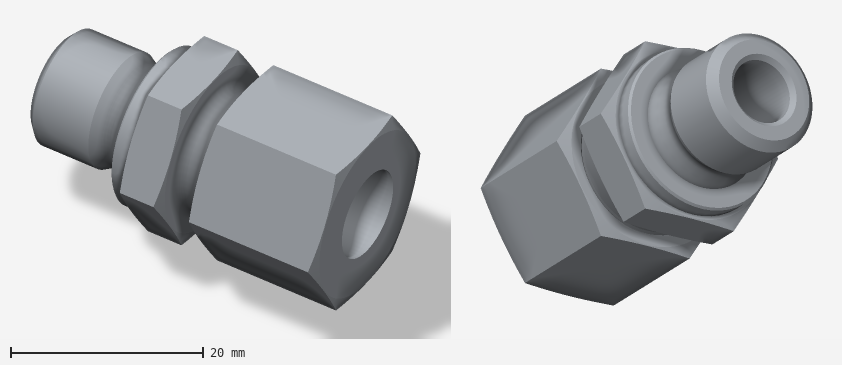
import cadquery as cq
import math


across_flats = 19.0
hex_face_diameter = 18.8
hex_chamfer_angle = 15.0
corner_radius = across_flats / math.sqrt(3)

stud_length = 12.0
hex_start = 14.0
hex_end = 18.95
neck_end = 21.6
nut_start = 22.5
body_end = 32.0
nut_end = 38.0

bore_diameter = 7.0
bore_mouth_diameter = 8.0
bore_chamfer_length = 0.5
stud_diameter = 13.2
stud_tip_diameter = 11.17
stud_tip_length = 0.95
flange_diameter = 18.0
flange_chamfer = 0.23
neck_diameter = 13.7
neck_fillet = 1.0
thread_diameter = 16.0
runout_angle = 30.0
runout_diameter = 15.2
thread_chamfer_angle = 45.0

groove_start = 7.75
groove_floor_radius = 5.75
groove_arc_radius = 1.15
groove_entry_angle = 30.0
groove_exit_angle = 23.0

tube_hole_diameter = 10.0
nut_mouth_diameter = 16.5


def revolve_about_x(profile):
    """Revolve a profile drawn as (x, radius) in the XY plane about the X axis."""
    return profile.close().revolve(360, (0, 0, 0), (1, 0, 0))


def cylinder_along_x(start, end, diameter):
    return cq.Workplane("YZ", origin=(start, 0, 0)).circle(diameter / 2).extrude(end - start)


def chamfered_hexagon(start, end):
    """Hexagonal prism with flats facing +Z and -Z and its corners turned off conically at both ends."""
    prism = (
        cq.Workplane("YZ", origin=(start, 0, 0))
        .polygon(6, 2 * corner_radius)
        .extrude(end - start)
    )
    face_radius = hex_face_diameter / 2
    chamfer_length = (corner_radius - face_radius) * math.tan(math.radians(hex_chamfer_angle))
    envelope = revolve_about_x(
        cq.Workplane("XY")
        .moveTo(start, 0)
        .lineTo(start, face_radius)
        .lineTo(start + chamfer_length, corner_radius)
        .lineTo(end - chamfer_length, corner_radius)
        .lineTo(end, face_radius)
        .lineTo(end, 0)
    )
    return prism.intersect(envelope)


def make_stud():
    """Stud with its tip chamfer, the groove behind its thread, and the round flange."""
    stud_radius = stud_diameter / 2
    flange_radius = flange_diameter / 2
    entry = math.radians(groove_entry_angle)
    leave = math.radians(groove_exit_angle)

    arc_start_radius = groove_floor_radius + groove_arc_radius * (1 - math.cos(entry))
    arc_start = groove_start + (stud_radius - arc_start_radius) / math.tan(entry)
    floor_position = arc_start + groove_arc_radius * math.sin(entry)
    arc_end = floor_position + groove_arc_radius * math.sin(leave)
    arc_end_radius = groove_floor_radius + groove_arc_radius * (1 - math.cos(leave))
    cone_end_radius = arc_end_radius + (stud_length - arc_end) * math.tan(leave)

    return revolve_about_x(
        cq.Workplane("XY")
        .moveTo(0, 0)
        .lineTo(0, stud_tip_diameter / 2)
        .lineTo(stud_tip_length, stud_radius)
        .lineTo(groove_start, stud_radius)
        .lineTo(arc_start, arc_start_radius)
        .threePointArc((floor_position, groove_floor_radius), (arc_end, arc_end_radius))
        .lineTo(stud_length, cone_end_radius)
        .lineTo(stud_length, flange_radius - flange_chamfer)
        .lineTo(stud_length + flange_chamfer, flange_radius)
        .lineTo(hex_start, flange_radius)
        .lineTo(hex_start, 0)
    )


def make_nut_side():
    """Neck filleted into the hexagon, then a runout cone and a chamfer up to the thread for the nut."""
    neck_radius = neck_diameter / 2
    thread_radius = thread_diameter / 2
    runout_radius = runout_diameter / 2
    runout_end = neck_end + (runout_radius - neck_radius) / math.tan(math.radians(runout_angle))
    chamfer_length = (thread_radius - runout_radius) / math.tan(math.radians(thread_chamfer_angle))
    fillet_middle = neck_fillet * (1 - math.sqrt(0.5))
    return revolve_about_x(
        cq.Workplane("XY")
        .moveTo(hex_end, 0)
        .lineTo(hex_end, neck_radius + neck_fillet)
        .threePointArc(
            (hex_end + fillet_middle, neck_radius + fillet_middle),
            (hex_end + neck_fillet, neck_radius),
        )
        .lineTo(neck_end, neck_radius)
        .lineTo(runout_end, runout_radius)
        .lineTo(runout_end + chamfer_length, thread_radius)
        .lineTo(body_end, thread_radius)
        .lineTo(body_end, 0)
    )


def make_bore():
    """Through bore of the body with a chamfered mouth at the stud tip."""
    return revolve_about_x(
        cq.Workplane("XY")
        .moveTo(0, 0)
        .lineTo(0, bore_mouth_diameter / 2)
        .lineTo(bore_chamfer_length, bore_diameter / 2)
        .lineTo(body_end, bore_diameter / 2)
        .lineTo(body_end, 0)
    )


def make_body():
    outside = make_stud().union(chamfered_hexagon(hex_start, hex_end)).union(make_nut_side())
    return outside.cut(make_bore())


def make_thread_bore():
    """Bore for the body thread, with a 45 degree countersink at the mouth."""
    bore_radius = thread_diameter / 2
    mouth_radius = nut_mouth_diameter / 2
    return revolve_about_x(
        cq.Workplane("XY")
        .moveTo(nut_start, 0)
        .lineTo(nut_start, mouth_radius)
        .lineTo(nut_start + mouth_radius - bore_radius, bore_radius)
        .lineTo(body_end, bore_radius)
        .lineTo(body_end, 0)
    )


def make_nut():
    """Union nut: hexagon with a bore for the body thread and a smaller hole for the tube."""
    tube_hole = cylinder_along_x(body_end, nut_end, tube_hole_diameter)
    return chamfered_hexagon(nut_start, nut_end).cut(make_thread_bore()).cut(tube_hole)


body = make_body()
nut = make_nut()

result = cq.Compound.makeCompound([body.val(), nut.val()])